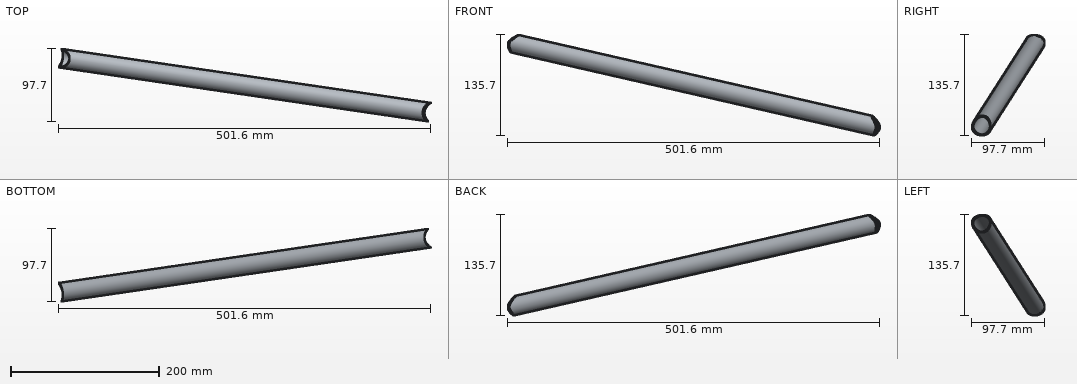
import cadquery as cq

outer_diameter = 25.5
wall = 1.5
post_radius = 14.5
post_length = 150.5
end_allowance = 40.0

span = cq.Vector(511.0, -74.5, -117.0)
start_point = span * -0.5
end_point = span * 0.5
tube_direction = span.normalized()

start_post_direction = cq.Vector(0.4, -0.1, 1).normalized()
end_post_direction = cq.Vector(-0.1, 0, 1).normalized()


def rod(center, direction, radius, length):
    """Solid cylinder centered on a point along a direction."""
    plane = cq.Plane(origin=center.toTuple(), normal=direction.toTuple())
    return cq.Workplane(plane).circle(radius).extrude(length / 2, both=True)


def notch_cutter(point, post_direction, outward):
    """Post cylinder swept outward along the tube to clear everything beyond it."""
    post = rod(point, post_direction, post_radius, post_length)
    side = post_direction.cross(outward).normalized()
    beyond_plane = cq.Plane(
        origin=point.toTuple(),
        xDir=post_direction.toTuple(),
        normal=side.cross(post_direction).toTuple(),
    )
    beyond = cq.Workplane(beyond_plane).rect(post_length, post_length).extrude(post_length)
    return post.union(beyond)


def raw_tube():
    """Over-long tube before its ends are notched."""
    tube_start = start_point - tube_direction * end_allowance
    plane = cq.Plane(
        origin=tube_start.toTuple(),
        normal=tube_direction.toTuple(),
    )
    outer_radius = outer_diameter / 2
    return (
        cq.Workplane(plane)
        .circle(outer_radius)
        .circle(outer_radius - wall)
        .extrude(span.Length + 2 * end_allowance)
    )


result = (
    raw_tube()
    .cut(notch_cutter(start_point, start_post_direction, tube_direction * -1))
    .cut(notch_cutter(end_point, end_post_direction, tube_direction))
)